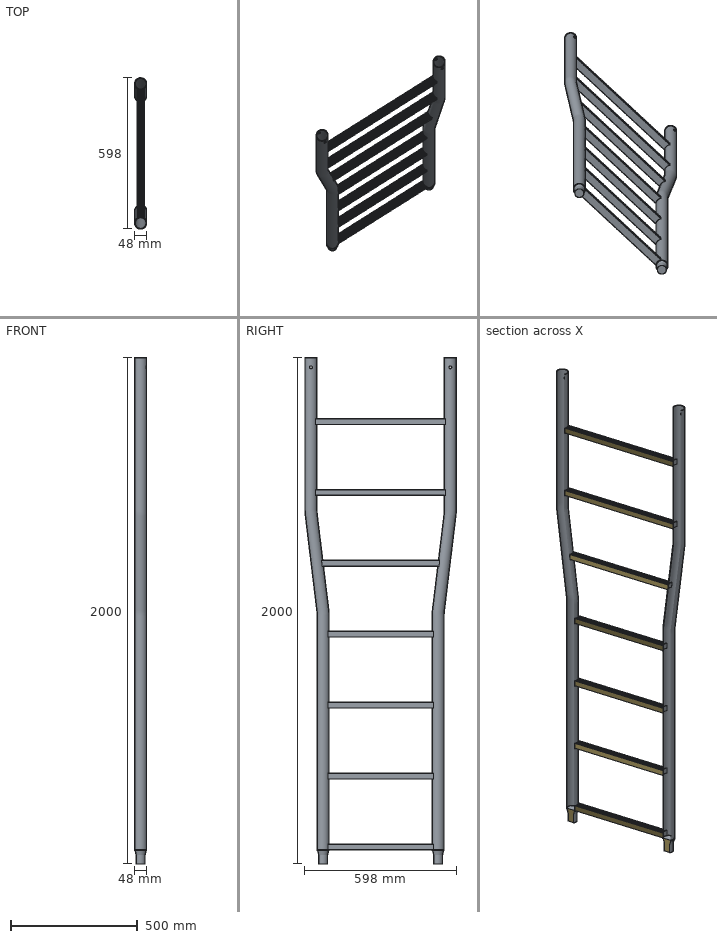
import cadquery as cq
import math

total_height = 2000.0
total_width = 598.0

rail_radius = 24.0
rail_wall = 3.0
bore_radius = rail_radius - rail_wall
rail_inset = 48.0
upper_rail_y = total_width / 2 - rail_radius
lower_rail_y = upper_rail_y - rail_inset
upper_bend_z = 1388.0
lower_bend_z = 992.0
bend_radius = 170.0

shoulder_z = 54.0
bore_floor = 4.0
spigot_radius = 18.0
neck_height = 18.0
neck_top_radius = 22.0

pin_hole_diameter = 10.0
pin_hole_drop = 38.0

rung_count = 7
rung_pitch = 280.0
bottom_tread_z = 80.0
rung_width = 30.0
rung_height = 24.0
rib_count = 5
rib_height = 2.0
rib_pitch = rung_width / rib_count
rib_width = rib_pitch / 2


def rail_bar(radius, start_z):
    """Round bar of the given radius along the bent centreline of the +Y rail, from start_z to the top."""
    bend_angle = math.atan(rail_inset / (upper_bend_z - lower_bend_z))
    tangent = bend_radius * math.tan(bend_angle / 2)
    sloped_dy = tangent * math.sin(bend_angle)
    sloped_dz = tangent * math.cos(bend_angle)
    centreline = (
        cq.Workplane("YZ")
        .moveTo(lower_rail_y, start_z)
        .lineTo(lower_rail_y, lower_bend_z - tangent)
        .tangentArcPoint((lower_rail_y + sloped_dy, lower_bend_z + sloped_dz), relative=False)
        .lineTo(upper_rail_y - sloped_dy, upper_bend_z - sloped_dz)
        .tangentArcPoint((upper_rail_y, upper_bend_z + tangent), relative=False)
        .lineTo(upper_rail_y, total_height)
    )
    return cq.Workplane("XY", origin=(0, lower_rail_y, start_z)).circle(radius).sweep(centreline)


def make_spigot():
    """Solid cylinder with a neck that widens up to the tube's shoulder."""
    return (
        cq.Workplane("XZ", origin=(0, lower_rail_y, 0))
        .lineTo(spigot_radius, 0)
        .lineTo(spigot_radius, shoulder_z - neck_height)
        .lineTo(neck_top_radius, shoulder_z)
        .lineTo(0, shoulder_z)
        .close()
        .revolve(360, (0, 0, 0), (0, 1, 0))
    )


def make_pin_hole():
    """Hole along X through both walls of the +Y rail."""
    return (
        cq.Workplane("YZ")
        .center(upper_rail_y, total_height - pin_hole_drop)
        .circle(pin_hole_diameter / 2)
        .extrude(rail_radius, both=True)
    )


def make_rail():
    """Rail on the +Y side: tube, spigot and cross hole."""
    bore = rail_bar(bore_radius, shoulder_z + bore_floor)
    return rail_bar(rail_radius, shoulder_z).cut(bore).union(make_spigot()).cut(make_pin_hole())


def make_rung(tread_z, rail_envelopes):
    """Ribbed bar with its top at tread_z and its ends shaped to fit against the rails."""
    length = 2 * upper_rail_y
    base_height = rung_height - rib_height
    base_top = tread_z - rib_height
    rung = (
        cq.Workplane("XY", origin=(0, 0, base_top))
        .rect(rung_width, length)
        .extrude(-base_height)
    )
    ribs = (
        cq.Workplane("XY", origin=(0, 0, base_top))
        .rarray(rib_pitch, 20, rib_count, 1)
        .rect(rib_width, length)
        .extrude(rib_height)
    )
    rung = rung.union(ribs)
    for envelope in rail_envelopes:
        rung = rung.cut(envelope)
    return min(rung.solids().vals(), key=lambda piece: abs(piece.Center().y))


right_rail = make_rail()
left_rail = right_rail.mirror("XZ")

right_envelope = rail_bar(rail_radius, shoulder_z)
envelopes = [right_envelope, right_envelope.mirror("XZ")]
rungs = [make_rung(bottom_tread_z + index * rung_pitch, envelopes) for index in range(rung_count)]

result = cq.Compound.makeCompound([right_rail.val(), left_rail.val(), *rungs])